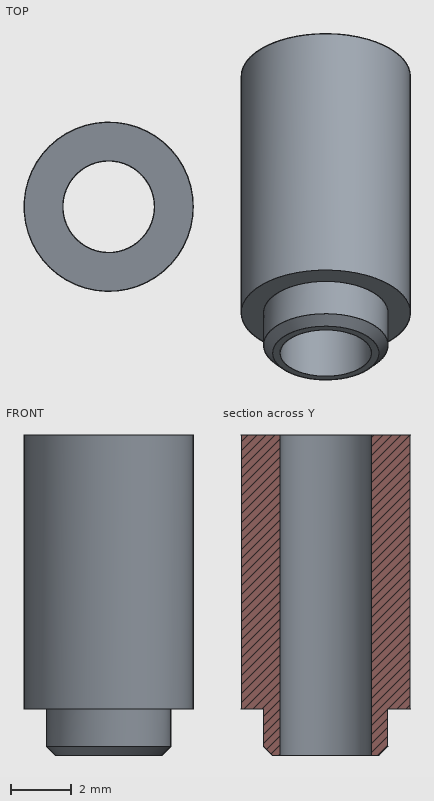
import cadquery as cq

body_diameter = 5.56
body_length = 9.0
total_length = 10.53
bore_diameter = 3.0

spigot_diameter = 4.09
spigot_length = total_length - body_length
spigot_chamfer = 0.3


def make_body():
    """Main cylinder, standing on the shoulder plane Z = 0."""
    return cq.Workplane("XY").circle(body_diameter / 2).extrude(body_length)


def make_spigot():
    """Reduced end that hangs below the shoulder."""
    spigot = cq.Workplane("XY").circle(spigot_diameter / 2).extrude(-spigot_length)
    return spigot.faces("<Z").edges().chamfer(spigot_chamfer)


def make_bore():
    """Through bore along the full length."""
    bore = cq.Workplane("XY").workplane(offset=-spigot_length)
    return bore.circle(bore_diameter / 2).extrude(total_length)


result = make_body().union(make_spigot()).cut(make_bore())